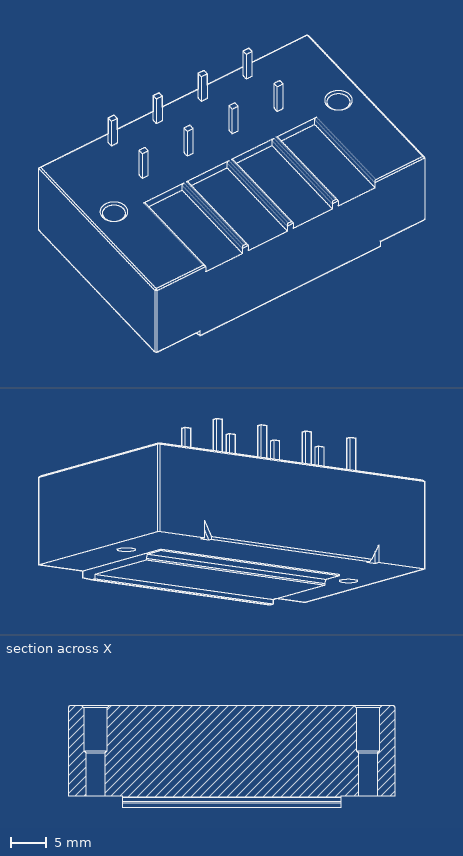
import cadquery as cq


length_x = 29.0
length_y = 45.7
total_height = 19.3
body_height = 12.7
edge_chamfer = 0.25

pin_height = 5.0
pin_size_x = 0.82
pin_size_y = 1.0
pin_first_x = 2.0
pin_shift_y = -0.2
pitch = 7.65
pin_rows = 4
pin_columns = 2

pocket_count = 4
pocket_start_x = 14.1
pocket_depth = 1.3
pocket_edge_y = 14.68
rib_width = 0.4
pocket_rounding = 0.3

hole_x = 13.1
hole_y = 19.05
hole_rim_diameter = 3.85
hole_bore_diameter = 3.2
hole_through_diameter = 2.55
hole_seat_z = body_height / 2

plate_width_y = 30.65
plate_skin = 0.2
plate_thickness = 0.95
hook_thickness = total_height - pin_height - body_height
plate_start_x = 10.05
plate_step_x = 13.3
plate_bevel_x = 0.27
plate_bevel_z = 0.55
hook_start_x = 26.0
hook_flat = 0.85

notch_outer_y = 14.95
notch_width = 1.35
notch_height = 2.45
notch_depth = 0.9
lower_chamfer = 0.3


def make_body():
    body = cq.Workplane("XY").box(length_x, length_y, body_height, centered=(False, True, False))
    return body.edges(">Z or (>X and <Y and |Z) or (<X and >Y and |Z)").chamfer(edge_chamfer)


def make_pins():
    root_z = body_height / 2
    first_y = pin_shift_y - pitch * (pin_rows - 1) / 2
    places = [
        (pin_first_x + column * pitch, first_y + row * pitch)
        for column in range(pin_columns)
        for row in range(pin_rows)
    ]
    return (
        cq.Workplane("XY")
        .workplane(offset=root_z)
        .pushPoints(places)
        .rect(pin_size_x, pin_size_y)
        .extrude(body_height - root_z + pin_height)
    )


def make_pocket(low_y, high_y):
    top = body_height
    floor = body_height - pocket_depth
    low_wall = low_y + pocket_rounding
    high_wall = high_y - pocket_rounding
    return (
        cq.Workplane("YZ", origin=(pocket_start_x, 0, 0))
        .moveTo(low_y, top)
        .radiusArc((low_wall, top - pocket_rounding), pocket_rounding)
        .lineTo(low_wall, floor)
        .lineTo(high_wall, floor)
        .lineTo(high_wall, top - pocket_rounding)
        .radiusArc((high_y, top), pocket_rounding)
        .close()
        .extrude(length_x - pocket_start_x)
    )


def make_pockets():
    half_rib = rib_width / 2
    rib_places = [(index - pocket_count / 2) * pitch for index in range(1, pocket_count)]
    lows = [-pocket_edge_y] + [y + half_rib for y in rib_places]
    highs = [y - half_rib for y in rib_places] + [pocket_edge_y]
    pockets = cq.Workplane("XY")
    for low_y, high_y in zip(lows, highs):
        pockets = pockets.add(make_pocket(low_y, high_y))
    return pockets.combine()


def make_hole(y):
    rim_radius = hole_rim_diameter / 2
    bore_radius = hole_bore_diameter / 2
    through_radius = hole_through_diameter / 2
    profile = (
        cq.Workplane("XZ")
        .polyline([
            (0, 0),
            (through_radius, 0),
            (through_radius, hole_seat_z - (bore_radius - through_radius)),
            (bore_radius, hole_seat_z),
            (bore_radius, body_height - (rim_radius - bore_radius)),
            (rim_radius, body_height),
            (0, body_height),
        ])
        .close()
    )
    return profile.revolve(360, (0, 0, 0), (0, 1, 0)).translate((hole_x, y, 0))


def make_plate():
    return (
        cq.Workplane("XZ", origin=(0, plate_width_y / 2, 0))
        .polyline([
            (plate_start_x, 0),
            (plate_start_x, -plate_skin),
            (plate_step_x, -plate_skin),
            (plate_step_x + plate_bevel_x, -plate_skin - plate_bevel_z),
            (plate_step_x + plate_bevel_x, -plate_thickness),
            (hook_start_x, -plate_thickness),
            (hook_start_x, -hook_thickness),
            (hook_start_x + hook_flat, -hook_thickness),
            (length_x, -plate_thickness),
            (length_x, 0),
        ])
        .close()
        .extrude(plate_width_y)
    )


def make_notch(side):
    return (
        cq.Workplane("YZ")
        .polyline([
            (side * notch_outer_y, 0),
            (side * notch_outer_y, notch_height),
            (side * (notch_outer_y - notch_width), 0),
        ])
        .close()
        .extrude(notch_depth)
    )


def make_lower_chamfer():
    length = 2 * notch_outer_y - notch_width
    return (
        cq.Workplane("XZ", origin=(0, length / 2, 0))
        .polyline([(0, 0), (lower_chamfer, 0), (0, lower_chamfer)])
        .close()
        .extrude(length)
    )


result = make_body().union(make_pins()).union(make_plate()).cut(make_pockets()).cut(make_lower_chamfer())
for side in (-1, 1):
    result = result.cut(make_hole(side * hole_y)).cut(make_notch(side))